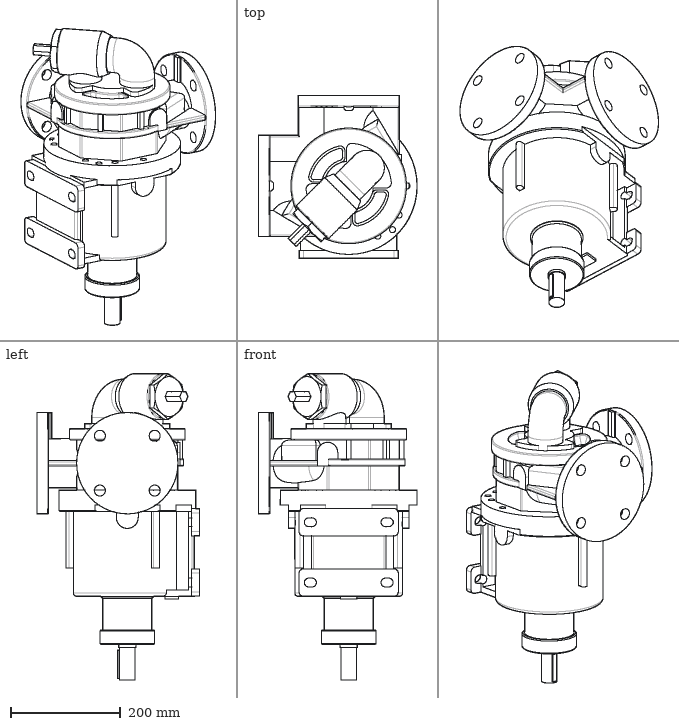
import cadquery as cq
import math


PORT_REACH = 165.0
PORT_RADIUS = 92.5
PORT_THICKNESS = 21.5
PORT_HOLE_OFFSET = 50.0
PORT_HOLE_DIAMETER = 20.0
NECK_RADIUS = 45.0
PORT_BACK = PORT_REACH - PORT_THICKNESS
PORT_RIB_WIDTH = 18.0
PORT_RIB_HEIGHT = 6.0
PORT_RIB_CHAMFER = 3.6
WEB_THICKNESS = 10.0
WEB_ROUND = 3.0
EDGE_ROUND = 2.0

CASING_SIDES = 8
CASING_INRADIUS = 92.5
CASING_EDGE_ROUND = 5.0
COVER_RADIUS = 105.5
COVER_TOP = 63.0
COVER_BOTTOM = 42.0
RIM_RADIUS = 103.0
RIM_TOP = 8.0
RIM_BOTTOM = -5.0
CASING_RIB_WIDTH = 8.0
CASING_RIB_ANGLES = (-90, -45, 0)
BOSS_FACE = 96.0
BOSS_OFFSET = 38.5
BOSS_WIDTH = 37.0
BOSS_TOP = 38.0
BOSS_DEPTH = 22.0
VOLUTE_RADIUS = 36.0
VOLUTE_WALL_START = 30.0
VOLUTE_WALL_EXTENSION = 16.0
VOLUTE_ROUND = 10.0
VOLUTE_START = (-130.0, -8.0)
VOLUTE_END = (-55.0, -52.0)

FLANGE_RADIUS = 125.0
FLANGE_TOP = -49.0
FLANGE_STEP = -76.5
FLANGE_BOTTOM = -88.0
FLANGE_FLAT = 110.0
BOLT_RADIUS = 106.0
BOLT_ANGLES = (0, -30, -60, 210, 240)
BOLT_DIAMETER = 11.0
JACK_RADIUS = 113.0
JACK_ANGLE = -45
NOTCH_ANGLE = 225
NOTCH_WIDTH = 10.0
NOTCH_LENGTH = 6.0
NOTCH_DEPTH = 6.0
TAB_RADIUS = 20.0
TAB_CENTRE_Z = -99.0

HOUSING_RADIUS = 98.5
HOUSING_BOTTOM = -243.0
HOUSING_ROUND = 6.0
ROD_RADIUS = 6.0
ROD_CIRCLE = 106.0
ROD_BOTTOM = -191.5
ROD_ANGLES = (90, 210, 330)
NOSE_RADIUS = 45.0
NOSE_SHOULDER_RADIUS = 48.0
NOSE_SHOULDER = 4.0
COLLAR_RADIUS = 50.0
COLLAR_TOP = -304.0
COLLAR_BOTTOM = -331.0
SHAFT_RADIUS = 14.5
SHAFT_BOTTOM = -396.0
SHAFT_HUB_RADIUS = 16.0
SHAFT_HUB_BOTTOM = -336.0
KEY_WIDTH = 8.0
KEY_TOP = -341.0
KEY_BOTTOM = -393.0
KEY_REACH = 17.5

FOOT_FACE = 132.0
FOOT_BACK = 117.5
FOOT_WIDTH = 181.0
FOOT_HEIGHT = 50.0
FOOT_ROUND = 8.0
FOOT_TOPS = (-82.8, -192.8)
SLOT_OFFSET = 70.0
SLOT_LENGTH = 22.0
SLOT_WIDTH = 16.0
FOOT_WEB_WIDTHS = (136.0, 176.0)
FOOT_WEB_THICKNESS = 11.5
FOOT_WEB_START = 64.0
PAD_WIDTH = 136.0
PAD_FACE = 122.5
PAD_BACK = 112.0
PAD_NECK_WIDTH = 80.0
PAD_ROUND = 4.0
LUG_WIDTH = 30.0
LUG_Y = -81.0
LUG_LENGTH = 25.0
LUG_DROP = 5.0

VALVE_ANGLE = 225
VALVE_Z = 121.5
BARREL_RADIUS = 42.0
BARREL_START = 20.0
BARREL_END = 95.0
BARREL_ROUND = 2.0
CONE_LENGTH = 16.0
CONE_END_RADIUS = 35.0
HEX_END = 108.0
HEX_RADIUS = 42.0
HEX_TRIM_LENGTH = 3.0
HEX_TRIM_DEPTH = 5.5
STEM_END = 146.0
STEM_RADIUS = 10.5
ELBOW_RADIUS = 32.0
ELBOW_BEND = 38.0
ELBOW_OFFSET = 46.7
PEDESTAL_RADIUS = 30.0
PEDESTAL_OFFSET = 50.0
LOBE_TOP = 72.0
LOBE_RADIUS = 78.0
LOBE_ROUND = 10.0
LOBE_GAP = -4.0
LOBE_OVERLAP = 15.0
HUB_RADIUS = 45.0
WINDOW_RADIUS = 75.0
WINDOW_FLOOR = 44.0
WINDOW_ROUND = 9.0
WINDOW_GAP = 7.0
WINDOW_WALL_HEIGHT = 16.0
WINDOW_WALL_LEAN = 4.5


def cylinder(radius, bottom, top, x=0.0, y=0.0):
    """Upright cylinder between two heights."""
    return cq.Workplane("XY", origin=(x, y, bottom)).circle(radius).extrude(top - bottom)


def box(x_range, y_range, z_range):
    """Box given by its lower and upper limit along each axis."""
    size = [high - low for low, high in (x_range, y_range, z_range)]
    corner = (x_range[0], y_range[0], z_range[0])
    return cq.Workplane("XY").box(*size, centered=False).translate(corner)


def polar(radius, angle):
    """Point in the XY plane at a radius and an angle in degrees."""
    radians = math.radians(angle)
    return radius * math.cos(radians), radius * math.sin(radians)


def spin(shape, angle):
    """Turn a shape about the Z axis."""
    return shape.rotate((0, 0, 0), (0, 0, 1), angle)


def diagonal_mirror(shape):
    """Reflect in the plane y = -x, which swaps the -X and +Y ports."""
    flipped = shape.mirror("XZ")
    return spin(flipped, -90)


def sector(inner, outer, gap, z_range, round_radius):
    """Rounded quarter ring; gap is its clearance from the two axes that bound the quarter."""
    start_in = (math.sqrt(inner**2 - gap**2), gap)
    start_out = (math.sqrt(outer**2 - gap**2), gap)
    return (
        cq.Workplane("XY", origin=(0, 0, z_range[0]))
        .moveTo(*start_in)
        .lineTo(*start_out)
        .threePointArc(polar(outer, 45), start_out[::-1])
        .lineTo(*start_in[::-1])
        .threePointArc(polar(inner, 45), start_in)
        .close()
        .extrude(z_range[1] - z_range[0])
        .edges("|Z")
        .fillet(round_radius)
    )


def make_port_side():
    """The -X port: flange, neck, stiffening rib, web, volute bulge and arched boss."""
    flange = cq.Workplane("YZ", origin=(-PORT_REACH, 0, 0)).circle(PORT_RADIUS).extrude(PORT_THICKNESS)
    flange = flange.faces(">X").edges().fillet(EDGE_ROUND)
    neck = cq.Workplane("YZ", origin=(-PORT_BACK, 0, 0)).circle(NECK_RADIUS).extrude(PORT_BACK)

    rib_top = math.sqrt(PORT_RADIUS**2 - (PORT_RIB_WIDTH / 2) ** 2)
    rib = box(
        (-PORT_BACK - EDGE_ROUND, -PORT_BACK + PORT_RIB_HEIGHT),
        (-PORT_RIB_WIDTH / 2, PORT_RIB_WIDTH / 2),
        (0, rib_top),
    )
    rib = rib.edges("|Z and >X").chamfer(PORT_RIB_CHAMFER)

    web = box(
        (-PORT_BACK, -BOSS_OFFSET),
        (-PORT_RADIUS, PORT_RADIUS),
        (-WEB_THICKNESS / 2, WEB_THICKNESS / 2),
    )
    web = web.edges("|X").fillet(WEB_ROUND)

    bulge = (VOLUTE_END[0] - VOLUTE_START[0], VOLUTE_END[1] - VOLUTE_START[1], 0)
    bulge_plane = cq.Plane(origin=(*VOLUTE_START, 0), xDir=(0, 0, 1), normal=bulge)
    volute = cq.Workplane(bulge_plane).circle(VOLUTE_RADIUS).extrude(math.hypot(*bulge))
    volute = volute.union(cq.Workplane("XY").sphere(VOLUTE_RADIUS).translate((*VOLUTE_END, 0)))
    wall = (
        cq.Workplane(bulge_plane)
        .workplane(offset=VOLUTE_WALL_START)
        .center(COVER_BOTTOM / 2, 0)
        .rect(COVER_BOTTOM, 2 * VOLUTE_RADIUS)
        .extrude(math.hypot(*bulge) - VOLUTE_WALL_START + VOLUTE_WALL_EXTENSION)
        .faces(">Z")
        .edges()
        .fillet(VOLUTE_ROUND)
    )
    volute = volute.union(wall)

    arch_radius = BOSS_WIDTH / 2
    boss = (
        cq.Workplane("XZ", origin=(-BOSS_OFFSET, -BOSS_FACE + BOSS_DEPTH, 0))
        .moveTo(-arch_radius, RIM_BOTTOM)
        .lineTo(-arch_radius, BOSS_TOP - arch_radius)
        .threePointArc((0, BOSS_TOP), (arch_radius, BOSS_TOP - arch_radius))
        .lineTo(arch_radius, RIM_BOTTOM)
        .close()
        .extrude(BOSS_DEPTH)
    )
    return flange.union(neck).union(rib).union(web).union(volute).union(boss)


def make_port_holes():
    holes = cq.Workplane("YZ", origin=(-PORT_REACH, 0, 0)).rect(
        2 * PORT_HOLE_OFFSET, 2 * PORT_HOLE_OFFSET, forConstruction=True
    )
    return holes.vertices().circle(PORT_HOLE_DIAMETER / 2).extrude(PORT_THICKNESS)


def make_casing():
    """Octagonal casing with a rim, upright ribs and the round cover."""
    corner_diameter = 2 * CASING_INRADIUS / math.cos(math.pi / CASING_SIDES)
    casing = (
        cq.Workplane("XY", origin=(0, 0, FLANGE_TOP))
        .polygon(CASING_SIDES, corner_diameter)
        .extrude(COVER_BOTTOM - FLANGE_TOP)
        .edges("|Z")
        .fillet(CASING_EDGE_ROUND)
    )
    casing = spin(casing, 180 / CASING_SIDES)
    casing = casing.union(cylinder(RIM_RADIUS, RIM_BOTTOM, RIM_TOP).edges().fillet(EDGE_ROUND))
    for angle in CASING_RIB_ANGLES:
        rib = box(
            (0, RIM_RADIUS - EDGE_ROUND),
            (-CASING_RIB_WIDTH / 2, CASING_RIB_WIDTH / 2),
            (0, COVER_BOTTOM),
        )
        casing = casing.union(spin(rib, angle))
    cover = cylinder(COVER_RADIUS, COVER_BOTTOM, COVER_TOP).edges().fillet(EDGE_ROUND)
    return casing.union(cover)


def make_windows():
    """Two opposite pockets whose walls lean inwards above the floor."""
    window = sector(HUB_RADIUS, WINDOW_RADIUS, WINDOW_GAP, (WINDOW_FLOOR, COVER_TOP), WINDOW_ROUND)
    window = window.faces("<Z").edges().chamfer(WINDOW_WALL_HEIGHT, WINDOW_WALL_LEAN)
    return spin(window, 90).union(spin(window, 270))


def make_main_flange():
    flange = cylinder(FLANGE_RADIUS, FLANGE_STEP, FLANGE_TOP)
    lower = cylinder(FLANGE_RADIUS, FLANGE_BOTTOM, FLANGE_STEP).faces("<Z").edges().chamfer(EDGE_ROUND)
    lower = lower.intersect(
        box(
            (-FLANGE_FLAT, FLANGE_FLAT),
            (-FLANGE_RADIUS, FLANGE_RADIUS),
            (FLANGE_BOTTOM, FLANGE_STEP),
        )
    )
    tab_block = box(
        (-FLANGE_FLAT, FLANGE_FLAT),
        (-TAB_RADIUS, TAB_RADIUS),
        (TAB_CENTRE_Z, FLANGE_STEP),
    )
    tab_end = cq.Workplane("YZ", origin=(-FLANGE_FLAT, 0, TAB_CENTRE_Z))
    tab_end = tab_end.circle(TAB_RADIUS).extrude(2 * FLANGE_FLAT)
    tab = tab_block.union(tab_end)
    flange = flange.union(lower).union(tab)

    spots = [polar(BOLT_RADIUS, angle) for angle in BOLT_ANGLES]
    spots.append(polar(JACK_RADIUS, JACK_ANGLE))
    for x, y in spots:
        flange = flange.cut(cylinder(BOLT_DIAMETER / 2, FLANGE_STEP, FLANGE_TOP, x, y))
    notch = box(
        (JACK_RADIUS - NOTCH_LENGTH / 2, JACK_RADIUS + NOTCH_LENGTH / 2),
        (-NOTCH_WIDTH / 2, NOTCH_WIDTH / 2),
        (FLANGE_TOP - NOTCH_DEPTH, FLANGE_TOP),
    )
    return flange.cut(spin(notch, NOTCH_ANGLE))


def make_housing():
    housing = cylinder(HOUSING_RADIUS, HOUSING_BOTTOM, FLANGE_BOTTOM)
    housing = housing.faces("<Z").edges().fillet(HOUSING_ROUND)
    for angle in ROD_ANGLES:
        rod = cylinder(ROD_RADIUS, ROD_BOTTOM, FLANGE_BOTTOM, *polar(ROD_CIRCLE, angle))
        wall = box((0, ROD_CIRCLE), (-ROD_RADIUS, ROD_RADIUS), (ROD_BOTTOM, FLANGE_BOTTOM))
        housing = housing.union(rod).union(spin(wall, angle))
    return housing


def make_feet():
    """Two slotted mounting feet on a pad, carried by a narrower neck and two webs."""
    z_range = (HOUSING_BOTTOM, FOOT_TOPS[0])
    feet = box((-PAD_WIDTH / 2, PAD_WIDTH / 2), (-PAD_FACE, -PAD_BACK), z_range)
    feet = feet.edges("|Z and <Y").fillet(PAD_ROUND)
    for top in FOOT_TOPS:
        plane = cq.Workplane("XZ", origin=(0, -FOOT_BACK, top - FOOT_HEIGHT / 2))
        foot = plane.rect(FOOT_WIDTH, FOOT_HEIGHT).extrude(FOOT_FACE - FOOT_BACK)
        feet = feet.union(foot.edges("|Y").fillet(FOOT_ROUND))
        slots = cq.Workplane("XZ", origin=(0, -PAD_BACK, top - FOOT_HEIGHT / 2))
        slots = slots.pushPoints([(-SLOT_OFFSET, 0), (SLOT_OFFSET, 0)]).slot2D(SLOT_LENGTH, SLOT_WIDTH)
        feet = feet.cut(slots.extrude(FOOT_FACE - PAD_BACK))

    neck = box((-PAD_NECK_WIDTH / 2, PAD_NECK_WIDTH / 2), (-PAD_BACK, 0), z_range)
    feet = feet.union(neck)
    for width, bottom in zip(FOOT_WEB_WIDTHS, (HOUSING_BOTTOM, FLANGE_BOTTOM)):
        web = box(
            (-width / 2, width / 2),
            (-FOOT_BACK, -FOOT_WEB_START),
            (bottom, bottom + FOOT_WEB_THICKNESS),
        )
        feet = feet.union(web)
    lug = box(
        (-LUG_WIDTH / 2, LUG_WIDTH / 2),
        (LUG_Y - LUG_LENGTH / 2, LUG_Y + LUG_LENGTH / 2),
        (HOUSING_BOTTOM - LUG_DROP, HOUSING_BOTTOM),
    )
    return feet.union(lug)


def make_nose_and_shaft():
    nose = cylinder(NOSE_RADIUS, COLLAR_TOP, HOUSING_BOTTOM)
    shoulder = cylinder(NOSE_SHOULDER_RADIUS, HOUSING_BOTTOM - NOSE_SHOULDER, HOUSING_BOTTOM)
    shoulder = shoulder.faces("<Z").edges().chamfer(NOSE_SHOULDER_RADIUS - NOSE_RADIUS)
    collar = cylinder(COLLAR_RADIUS, COLLAR_BOTTOM, COLLAR_TOP).edges().chamfer(EDGE_ROUND)
    hub = cylinder(SHAFT_HUB_RADIUS, SHAFT_HUB_BOTTOM, COLLAR_BOTTOM)
    shaft = cylinder(SHAFT_RADIUS, SHAFT_BOTTOM, COLLAR_BOTTOM)
    key = box((-KEY_WIDTH / 2, KEY_WIDTH / 2), (0, KEY_REACH), (KEY_BOTTOM, KEY_TOP))
    return nose.union(shoulder).union(collar).union(hub).union(shaft).union(key)


def make_relief_valve():
    """Valve built along +X, then turned to its diagonal: elbow, barrel, hexagon plug and stem."""
    axis = cq.Workplane("YZ", origin=(BARREL_START, 0, VALVE_Z))
    barrel = axis.circle(BARREL_RADIUS).extrude(BARREL_END - BARREL_START)
    barrel = barrel.faces(">X").edges().fillet(BARREL_ROUND)
    cone = cq.Solid.makeCone(
        BARREL_RADIUS,
        CONE_END_RADIUS,
        CONE_LENGTH,
        cq.Vector(BARREL_START, 0, VALVE_Z),
        cq.Vector(-1, 0, 0),
    )
    plug = axis.polygon(6, 2 * HEX_RADIUS).extrude(HEX_END - BARREL_START)
    plug = plug.rotate((0, 0, VALVE_Z), (1, 0, VALVE_Z), 30)
    envelope = axis.circle(HEX_RADIUS).extrude(HEX_END - BARREL_START)
    plug = plug.intersect(envelope.faces(">X").edges().chamfer(HEX_TRIM_LENGTH, HEX_TRIM_DEPTH))
    stem = axis.polygon(6, 2 * STEM_RADIUS).extrude(STEM_END - BARREL_START)

    bend_end = ELBOW_BEND - ELBOW_OFFSET
    bend_start_z = VALVE_Z - ELBOW_BEND
    elbow = (
        cq.Workplane("XY", origin=(-ELBOW_OFFSET, 0, bend_start_z))
        .circle(ELBOW_RADIUS)
        .revolve(90, (ELBOW_BEND, 0, 0), (ELBOW_BEND, 1, 0))
    )
    riser = cylinder(ELBOW_RADIUS, COVER_TOP, bend_start_z, -ELBOW_OFFSET)
    link = cq.Workplane("YZ", origin=(bend_end, 0, VALVE_Z)).circle(ELBOW_RADIUS)
    link = link.extrude(BARREL_START - bend_end)
    pedestal = cylinder(PEDESTAL_RADIUS, COVER_TOP, VALVE_Z, PEDESTAL_OFFSET)
    valve = barrel.union(cq.Workplane(cone)).union(plug).union(stem)
    valve = valve.union(elbow).union(riser).union(link).union(pedestal)
    return spin(valve, VALVE_ANGLE)


def make_lobes():
    """Round hub with two opposite lobes that carry the ends of the relief valve."""
    lobe = sector(HUB_RADIUS - LOBE_OVERLAP, LOBE_RADIUS, LOBE_GAP, (COVER_TOP, LOBE_TOP), LOBE_ROUND)
    hub = cylinder(HUB_RADIUS, COVER_TOP, LOBE_TOP)
    return hub.union(lobe).union(spin(lobe, 180))


port_side = make_port_side()
result = make_casing().union(port_side).union(diagonal_mirror(port_side))
port_holes = make_port_holes()
result = result.cut(port_holes).cut(diagonal_mirror(port_holes)).cut(make_windows())
result = result.union(make_main_flange()).union(make_housing()).union(make_feet())
result = result.union(make_nose_and_shaft()).union(make_lobes()).union(make_relief_valve())